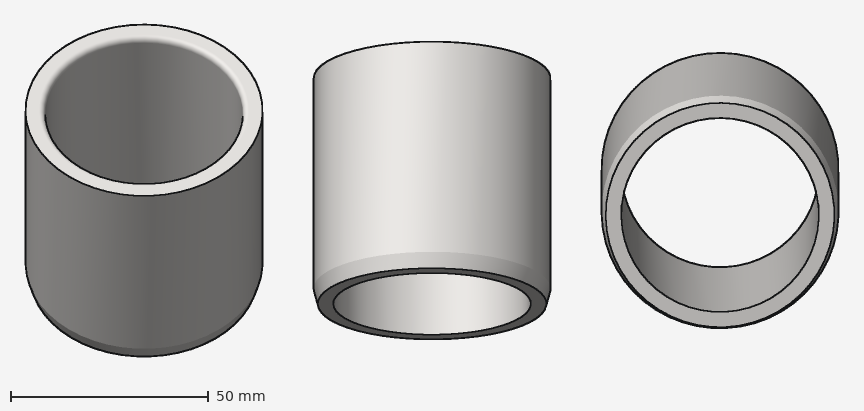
import cadquery as cq
import math

outer_diameter = 60.0
height = 60.0
bore_diameter = 50.0
taper_height = 4.0
taper_angle = 15.0
bore_fillet = 1.5

outer_radius = outer_diameter / 2
bore_radius = bore_diameter / 2
taper_inset = taper_height * math.tan(math.radians(taper_angle))

fillet_middle = bore_fillet * (1 - math.sqrt(0.5))
section = (
    cq.Workplane("XZ")
    .moveTo(bore_radius, 0)
    .lineTo(outer_radius - taper_inset, 0)
    .lineTo(outer_radius, taper_height)
    .lineTo(outer_radius, height)
    .lineTo(bore_radius + bore_fillet, height)
    .threePointArc(
        (bore_radius + fillet_middle, height - fillet_middle),
        (bore_radius, height - bore_fillet),
    )
    .close()
)

result = section.revolve(360, (0, 0), (0, 1))